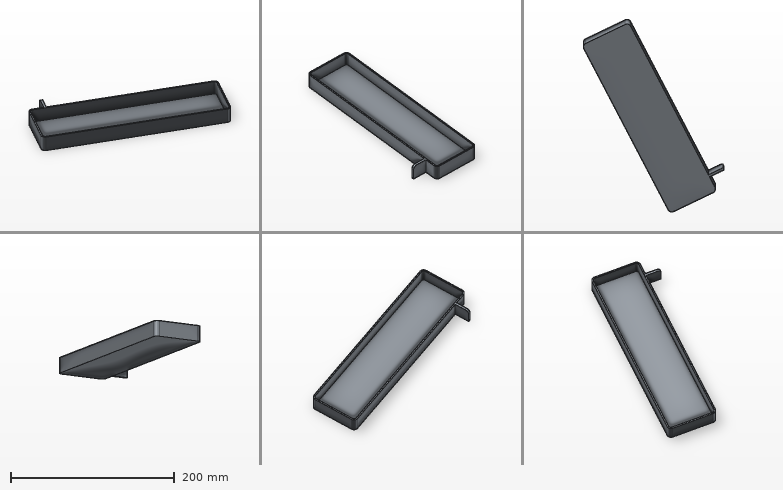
import cadquery as cq

tray_length = 240.0
tray_width = 64.0
tray_height = 19.7
corner_radius = 5.0
wall = 2.0
floor = 2.0

tab_reach = 20.0
tab_thickness = 3.0
tab_front_offset = 20.0
tab_corner_radius = 5.0


def make_tray():
    """Open-topped tray with rounded upright corners, centred on the Z axis."""
    outer = (
        cq.Workplane("XY")
        .box(tray_width, tray_length, tray_height, centered=(True, True, False))
        .edges("|Z")
        .fillet(corner_radius)
    )
    cavity = (
        cq.Workplane("XY", origin=(0, 0, floor))
        .box(
            tray_width - 2 * wall,
            tray_length - 2 * wall,
            tray_height - floor,
            centered=(True, True, False),
        )
        .edges("|Z")
        .fillet(corner_radius - wall)
    )
    return outer.cut(cavity)


def make_tab():
    """Full-height tab with its free upper corner rounded; its root overlaps half the wall."""
    root_overlap = wall / 2
    left = -tray_width / 2 - tab_reach
    front = -tray_length / 2 + tab_front_offset
    return (
        cq.Workplane("XY", origin=(left, front, 0))
        .box(tab_reach + root_overlap, tab_thickness, tray_height, centered=False)
        .edges("<X and >Z")
        .fillet(tab_corner_radius)
    )


result = make_tray().union(make_tab())